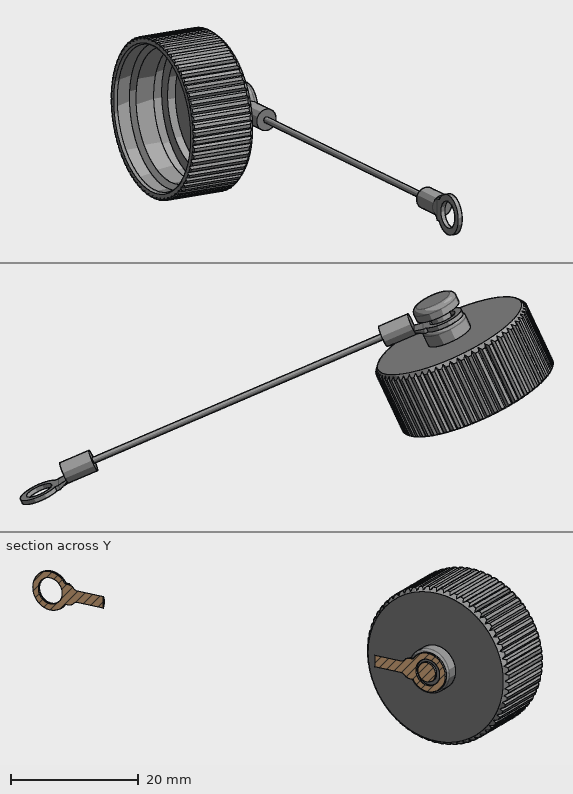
import cadquery as cq
import math

CAP_RADIUS = 13.0
CAP_LENGTH = 11.0
BACK_CHAMFER = 0.6
BACK_CHAMFER_LENGTH = 0.75
RIM_CHAMFER = 0.2

MOUTH_RADIUS = 12.0
ENTRY_RADIUS = 11.75
MOUTH_CHAMFER_DEPTH = 0.5
ENTRY_DEPTH = 2.7
THREAD_RADIUS = 10.9
THREAD_START = 3.4
THREAD_END = 6.6
RELIEF_RADIUS = 11.85
SEAT_DEPTH = 8.6
FLOOR_RADIUS = 10.0
FLOOR_DEPTH = 10.0

GROOVE_COUNT = 64
GROOVE_DEPTH = 0.4
GROOVE_WIDTH = 0.7
GROOVE_CLEARANCE = 0.1

BUTTON_RADIUS = 3.65
COLLAR_TOP = 13.4
COLLAR_FILLET = 0.5
SHANK_RADIUS = 1.65
HEAD_BOTTOM = 15.4
HEAD_TOP = 17.35
HEAD_FILLET = 0.8

RING_RADIUS = 3.25
RING_HOLE_RADIUS = 2.15
RING_THICKNESS = 0.75
RING_BOTTOM = COLLAR_TOP
TETHER_END = 72.3
FAR_RING_X = TETHER_END - RING_RADIUS
NEAR_RING_X = -0.2
FERRULE_RADIUS = 1.75
FERRULE_LENGTH = 5.0
FERRULE_OFFSET = 4.75
WIRE_RADIUS = 0.5
WIRE_Y = RING_BOTTOM + FERRULE_RADIUS
TAB_WIDTH = 3.5
BLEND_LENGTH = 1.45
LIP_HEIGHT = 1.0
LIP_CORNER_SHARE = 0.75


def disc(radius, y_start, y_end, x=0):
    """Cylinder along Y between two Y positions."""
    plane = cq.Workplane("XZ", origin=(x, y_start, 0))
    return plane.circle(radius).extrude(y_start - y_end)


def make_cap_body():
    """Cup turned about Y, with a threaded land and a relief behind it."""
    profile = [
        (0, FLOOR_DEPTH),
        (FLOOR_RADIUS, FLOOR_DEPTH),
        (FLOOR_RADIUS, SEAT_DEPTH),
        (RELIEF_RADIUS, SEAT_DEPTH),
        (RELIEF_RADIUS, THREAD_END),
        (THREAD_RADIUS, THREAD_END),
        (THREAD_RADIUS, THREAD_START),
        (ENTRY_RADIUS, ENTRY_DEPTH),
        (ENTRY_RADIUS, MOUTH_CHAMFER_DEPTH),
        (MOUTH_RADIUS, 0),
        (CAP_RADIUS - RIM_CHAMFER, 0),
        (CAP_RADIUS, RIM_CHAMFER),
        (CAP_RADIUS, CAP_LENGTH - BACK_CHAMFER_LENGTH),
        (CAP_RADIUS - BACK_CHAMFER, CAP_LENGTH),
        (0, CAP_LENGTH),
    ]
    return cq.Workplane("XY").polyline(profile).close().revolve(360, (0, 0, 0), (0, 1, 0))


def make_grip_grooves():
    """Ring of V-shaped cutters running the whole length of the cap."""
    pitch = 2 * math.pi / GROOVE_COUNT
    flank_radius = CAP_RADIUS + GROOVE_CLEARANCE
    flank_growth = (GROOVE_DEPTH + GROOVE_CLEARANCE) / GROOVE_DEPTH
    half_angle = flank_growth * GROOVE_WIDTH / 2 / CAP_RADIUS
    outside = CAP_RADIUS + GROOVE_DEPTH
    points = []
    for index in range(GROOVE_COUNT):
        middle = index * pitch
        corners = [
            (flank_radius, middle - half_angle),
            (CAP_RADIUS - GROOVE_DEPTH, middle),
            (flank_radius, middle + half_angle),
        ]
        points += [(r * math.cos(a), r * math.sin(a)) for r, a in corners]
    blank = cq.Workplane("XZ").circle(outside).polyline(points).close()
    return blank.extrude(-CAP_LENGTH)


def make_button():
    """Collar, shank and head; the shank reaches down to the cap floor."""
    collar = disc(BUTTON_RADIUS, CAP_LENGTH, COLLAR_TOP).faces(">Y").edges().fillet(COLLAR_FILLET)
    head = disc(BUTTON_RADIUS, HEAD_BOTTOM, HEAD_TOP).faces(">Y").edges().fillet(HEAD_FILLET)
    shank = disc(SHANK_RADIUS, FLOOR_DEPTH, HEAD_TOP)
    return collar.union(shank).union(head)


def make_tab_blend(ferrule_x, direction):
    """Loft from a segment of the ferrule's round section to the flat tab's rectangle."""
    tab_top = RING_BOTTOM + RING_THICKNESS
    half_tab = TAB_WIDTH / 2
    top_angle = math.acos((FERRULE_RADIUS - LIP_HEIGHT) / FERRULE_RADIUS)
    corner_angle = top_angle * LIP_CORNER_SHARE

    def on_ferrule(angle):
        y = WIRE_Y - FERRULE_RADIUS * math.cos(angle)
        return (y, FERRULE_RADIUS * math.sin(angle))

    side_angle = (top_angle + corner_angle) / 2
    lip = (
        cq.Workplane("YZ", origin=(ferrule_x, 0, 0))
        .moveTo(*on_ferrule(-top_angle))
        .threePointArc(on_ferrule(-side_angle), on_ferrule(-corner_angle))
        .threePointArc(on_ferrule(0), on_ferrule(corner_angle))
        .threePointArc(on_ferrule(side_angle), on_ferrule(top_angle))
        .close()
    )
    flat_x = ferrule_x - direction * BLEND_LENGTH
    flat = (
        cq.Workplane("YZ", origin=(flat_x, 0, 0))
        .moveTo(tab_top, -half_tab)
        .lineTo(RING_BOTTOM, -half_tab)
        .lineTo(RING_BOTTOM, half_tab)
        .lineTo(tab_top, half_tab)
        .close()
    )
    wires = [lip.val(), flat.val()]
    return cq.Workplane(cq.Solid.makeLoft(wires, True))


def make_terminal(ring_x, direction):
    """Flat ring, tab and ferrule; direction is +1 or -1 along X from ring to ferrule."""
    ring_top = RING_BOTTOM + RING_THICKNESS
    ferrule_x = ring_x + direction * FERRULE_OFFSET
    tab_length = FERRULE_OFFSET - BLEND_LENGTH
    tab_middle = (ring_x + direction * tab_length / 2, (RING_BOTTOM + ring_top) / 2, 0)
    tab = cq.Workplane("XY").box(tab_length, RING_THICKNESS, TAB_WIDTH).translate(tab_middle)
    ring = disc(RING_RADIUS, RING_BOTTOM, ring_top, ring_x)
    hole = disc(RING_HOLE_RADIUS, RING_BOTTOM, ring_top, ring_x)
    ferrule_plane = cq.Workplane("YZ", origin=(ferrule_x, WIRE_Y, 0))
    ferrule = ferrule_plane.circle(FERRULE_RADIUS).extrude(direction * FERRULE_LENGTH)
    blend = make_tab_blend(ferrule_x, direction)
    return ring.union(tab).cut(hole).union(blend, clean=False).union(ferrule, clean=False)


def make_wire():
    """Round wire between the outer ends of the two ferrules."""
    reach = FERRULE_OFFSET + FERRULE_LENGTH
    start = NEAR_RING_X + reach
    end = FAR_RING_X - reach
    return cq.Workplane("YZ", origin=(start, WIRE_Y, 0)).circle(WIRE_RADIUS).extrude(end - start)


cap = make_cap_body().cut(make_grip_grooves())
near_terminal = make_terminal(NEAR_RING_X, 1)
far_terminal = make_terminal(FAR_RING_X, -1)
tether = near_terminal.union(make_wire(), clean=False).union(far_terminal, clean=False)
result = cap.union(make_button(), clean=False).union(tether, clean=False)